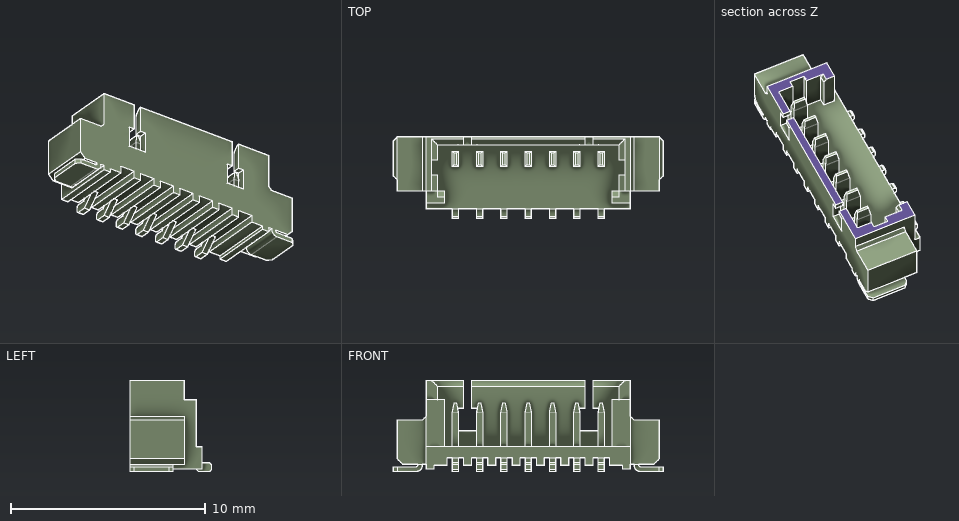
import cadquery as cq


TOTAL_LENGTH = 13.9
TOTAL_DEPTH = 4.2
TOTAL_HEIGHT = 4.7

BODY_HALF_LENGTH = 5.25
BODY_DEPTH = 3.71
BODY_BOTTOM = 0.32
FLOOR_TOP = 1.29
SIDE_WALL_DEPTH = 2.8
SIDE_WALL_THICKNESS = 0.58
BACK_WALL_THICKNESS = 0.42
LEAD_IN_DEPTH = 0.3
LEAD_IN_HEIGHT = 0.3
GROOVE_BACK = 1.21
GROOVE_FRONT = 1.97

FOOT_LENGTH = 0.4
FOOT_BOTTOM = 0.13

POST_LENGTH = 0.95
POST_FRONT = 3.42
POST_TOP = 3.71

SLOT_CENTER = 3.13
SLOT_WIDTH = 0.4
WINDOW_WIDTH = 1.0
WINDOW_BOTTOM = 2.11
WINDOW_TOP = 3.25

PIN_COUNT = 7
PIN_PITCH = 1.25
PIN_WIDTH = 0.33
PIN_BACK = 0.75
PIN_FRONT = 1.53
PIN_TOP = 3.55
PIN_TAPER_START = 3.05
PIN_TIP_WIDTH = 0.13
PIN_TIP_BACK = 0.83
PIN_TIP_FRONT = 1.45
TAIL_THICKNESS = 0.46
TAIL_CHAMFER = 0.1
TAIL_BEND_BOTTOM = 3.53
TAIL_BEND_TOP = 3.64
TAIL_NOTCH_WIDTH = 0.83
TAIL_NOTCH_TOP = 0.71

WING_OUTER = 6.75
WING_BOTTOM = 0.38
WING_TOP = 2.67
WING_BOTTOM_CHAMFER = 0.29
WING_TOP_CHAMFER = 0.18

TAB_THICKNESS = 0.25
TAB_DEPTH = 2.22
TAB_INNER_RADIUS = 0.07
TAB_UPRIGHT_INNER_X = 5.45
TAB_CORNER_CHAMFER = 0.21

INNER_HALF_LENGTH = BODY_HALF_LENGTH - SIDE_WALL_THICKNESS
GROOVE_HALF_LENGTH = INNER_HALF_LENGTH + LEAD_IN_DEPTH
PIN_POSITIONS = [(i - (PIN_COUNT - 1) / 2) * PIN_PITCH for i in range(PIN_COUNT)]


def block(x_range, depth_range, z_range):
    """Box between limits, with depth counted from the back face toward -Y."""
    size_x = x_range[1] - x_range[0]
    size_y = depth_range[1] - depth_range[0]
    size_z = z_range[1] - z_range[0]
    box = cq.Workplane("XY").box(size_x, size_y, size_z, centered=False)
    return box.translate((x_range[0], -depth_range[1], z_range[0]))


def extrude_along_depth(points, depth):
    """Extrude an X-Z outline from the back face toward the front."""
    return cq.Workplane("XZ").polyline(points).close().extrude(depth)


def extrude_along_length(points, x_start, length):
    """Extrude a (depth, Z) outline along +X."""
    outline = [(-depth, z) for depth, z in points]
    return cq.Workplane("YZ", origin=(x_start, 0, 0)).polyline(outline).close().extrude(length)


def both_ends(solid):
    """Join a solid at the +X end with its mirror image at the -X end."""
    return solid.union(solid.mirror("YZ"))


def make_base():
    base = block((-BODY_HALF_LENGTH, BODY_HALF_LENGTH), (0, BODY_DEPTH), (BODY_BOTTOM, FLOOR_TOP))
    foot = block(
        (BODY_HALF_LENGTH - FOOT_LENGTH, BODY_HALF_LENGTH), (0, BODY_DEPTH), (FOOT_BOTTOM, BODY_BOTTOM)
    )
    base = base.union(both_ends(foot))
    for x in PIN_POSITIONS:
        half_width = TAIL_NOTCH_WIDTH / 2
        base = base.cut(
            block((x - half_width, x + half_width), (0, BODY_DEPTH), (BODY_BOTTOM, TAIL_NOTCH_TOP))
        )
    return base


def make_back_wall():
    lead_in_bottom = TOTAL_HEIGHT - LEAD_IN_HEIGHT
    profile = [
        (0, FLOOR_TOP),
        (BACK_WALL_THICKNESS, FLOOR_TOP),
        (BACK_WALL_THICKNESS, lead_in_bottom),
        (BACK_WALL_THICKNESS - LEAD_IN_DEPTH, TOTAL_HEIGHT),
        (0, TOTAL_HEIGHT),
    ]
    wall = extrude_along_length(profile, -BODY_HALF_LENGTH, 2 * BODY_HALF_LENGTH)
    for center in (-SLOT_CENTER, SLOT_CENTER):
        for width, bottom, top in (
            (SLOT_WIDTH, WINDOW_TOP, TOTAL_HEIGHT),
            (WINDOW_WIDTH, WINDOW_BOTTOM, WINDOW_TOP),
        ):
            x_range = (center - width / 2, center + width / 2)
            wall = wall.cut(block(x_range, (0, BACK_WALL_THICKNESS), (bottom, top)))
    return wall


def make_side_wall():
    profile = [
        (BODY_HALF_LENGTH, FLOOR_TOP),
        (INNER_HALF_LENGTH, FLOOR_TOP),
        (INNER_HALF_LENGTH, TOTAL_HEIGHT - LEAD_IN_HEIGHT),
        (GROOVE_HALF_LENGTH, TOTAL_HEIGHT),
        (BODY_HALF_LENGTH, TOTAL_HEIGHT),
    ]
    wall = extrude_along_depth(profile, SIDE_WALL_DEPTH)
    groove = block(
        (INNER_HALF_LENGTH, GROOVE_HALF_LENGTH), (GROOVE_BACK, GROOVE_FRONT), (FLOOR_TOP, TOTAL_HEIGHT)
    )
    return wall.cut(groove)


def make_corner_post():
    """Post in front of the side wall, sloped at the back where it reaches past that wall."""
    post_inner = BODY_HALF_LENGTH - POST_LENGTH
    post = block((post_inner, BODY_HALF_LENGTH), (SIDE_WALL_DEPTH, POST_FRONT), (FLOOR_TOP, POST_TOP))
    lead_in = [
        (SIDE_WALL_DEPTH, POST_TOP),
        (SIDE_WALL_DEPTH + LEAD_IN_DEPTH, POST_TOP),
        (SIDE_WALL_DEPTH, POST_TOP - LEAD_IN_HEIGHT),
    ]
    return post.cut(extrude_along_length(lead_in, post_inner, INNER_HALF_LENGTH - post_inner))


def make_wing():
    profile = [
        (BODY_HALF_LENGTH, WING_BOTTOM),
        (WING_OUTER - WING_BOTTOM_CHAMFER, WING_BOTTOM),
        (WING_OUTER, WING_BOTTOM + WING_BOTTOM_CHAMFER),
        (WING_OUTER, WING_TOP),
        (BODY_HALF_LENGTH + WING_TOP_CHAMFER, WING_TOP),
        (BODY_HALF_LENGTH, WING_TOP + WING_TOP_CHAMFER),
    ]
    return extrude_along_depth(profile, SIDE_WALL_DEPTH)


def make_solder_tab():
    """L-shaped sheet metal tab that hangs from the wing and turns outward."""
    outer_radius = TAB_INNER_RADIUS + TAB_THICKNESS
    bend_x = TAB_UPRIGHT_INNER_X + outer_radius
    tab_end = TOTAL_LENGTH / 2
    tab = (
        cq.Workplane("XZ")
        .moveTo(tab_end, 0)
        .lineTo(bend_x, 0)
        .radiusArc((TAB_UPRIGHT_INNER_X, outer_radius), outer_radius)
        .lineTo(TAB_UPRIGHT_INNER_X, WING_BOTTOM)
        .lineTo(TAB_UPRIGHT_INNER_X + TAB_THICKNESS, WING_BOTTOM)
        .lineTo(TAB_UPRIGHT_INNER_X + TAB_THICKNESS, outer_radius)
        .radiusArc((bend_x, TAB_THICKNESS), -TAB_INNER_RADIUS)
        .lineTo(tab_end, TAB_THICKNESS)
        .close()
        .extrude(TAB_DEPTH)
    )
    return tab.faces(">X").edges("|Z").chamfer(TAB_CORNER_CHAMFER)


def make_blade():
    """Upright contact blade with a tapered tip, centred on X = 0."""
    shank = block((-PIN_WIDTH / 2, PIN_WIDTH / 2), (PIN_BACK, PIN_FRONT), (FLOOR_TOP, PIN_TAPER_START))
    shank_center = -(PIN_BACK + PIN_FRONT) / 2
    tip_center = -(PIN_TIP_BACK + PIN_TIP_FRONT) / 2
    tip = (
        cq.Workplane("XY", origin=(0, shank_center, PIN_TAPER_START))
        .rect(PIN_WIDTH, PIN_FRONT - PIN_BACK)
        .workplane(offset=PIN_TOP - PIN_TAPER_START)
        .center(0, tip_center - shank_center)
        .rect(PIN_TIP_WIDTH, PIN_TIP_FRONT - PIN_TIP_BACK)
        .loft(ruled=True)
    )
    return shank.union(tip)


def make_tail():
    """Solder tail that slopes down from the notch roof and runs forward, centred on X = 0."""
    profile = [
        (TAIL_BEND_BOTTOM - TAIL_NOTCH_TOP, TAIL_NOTCH_TOP),
        (TAIL_BEND_BOTTOM, 0),
        (TOTAL_DEPTH - TAIL_CHAMFER, 0),
        (TOTAL_DEPTH, TAIL_CHAMFER),
        (TOTAL_DEPTH, TAIL_THICKNESS - TAIL_CHAMFER),
        (TOTAL_DEPTH - TAIL_CHAMFER, TAIL_THICKNESS),
        (TAIL_BEND_TOP, TAIL_THICKNESS),
        (TAIL_BEND_TOP - (TAIL_NOTCH_TOP - TAIL_THICKNESS), TAIL_NOTCH_TOP),
    ]
    return extrude_along_length(profile, -PIN_WIDTH / 2, PIN_WIDTH)


housing = make_base().union(make_back_wall())
for end_feature in (make_side_wall(), make_corner_post(), make_wing(), make_solder_tab()):
    housing = housing.union(both_ends(end_feature))

blade = make_blade()
tail = make_tail()
for pin_x in PIN_POSITIONS:
    housing = housing.union(blade.translate((pin_x, 0, 0)))
    housing = housing.union(tail.translate((pin_x, 0, 0)))

result = housing